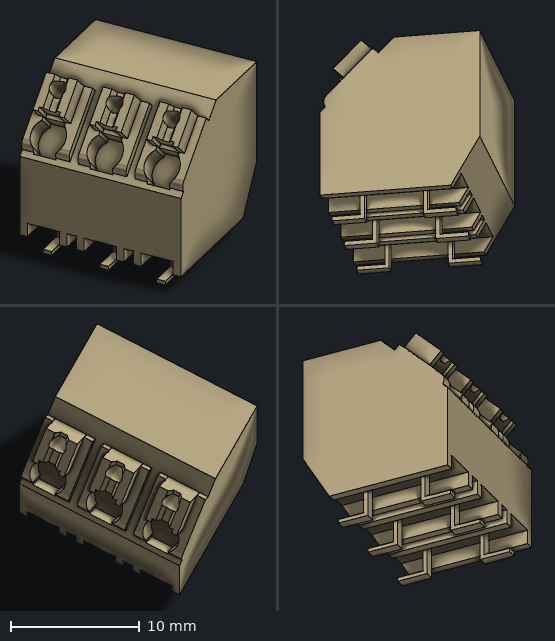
import cadquery as cq
import math


POLES = 3
PITCH = 5.0
OVERALL_HEIGHT = 14.71

WIDTH = 14.2
DEPTH = 12.7
BASE_Z = 1.52
TOP_Z = 14.42
SLANT = 5.87
REAR_CUT_HEIGHT = 3.95
REAR_CUT_DEPTH = 2.3
SLOT_DEPTH = 1.2
PIN_SLOT_WIDTH = 2.82
GAP_SLOT_WIDTH = 0.82

PAD_GAP = 0.76
PAD_START = 1.72
PAD_END = 7.71
PAD_RISE = 0.6
PAD_ROUNDING = 0.8

BUTTON_OFFSET = -0.03
BUTTON_WIDTH = 2.77
BUTTON_LENGTH = 3.16
BUTTON_END = PAD_START + BUTTON_LENGTH
BUTTON_RISE = PAD_START + math.sqrt(2) * (OVERALL_HEIGHT - TOP_Z)
GROOVE_DEPTH = 0.55
GROOVE_TOP_WIDTH = 1.2
GROOVE_FLOOR_WIDTH = 0.59
TOOL_HOLE_DIAMETER = 1.4
TOOL_HOLE_POSITION = 2.7
NOTCH_WIDTH = 1.84
NOTCH_DEPTH = 0.34
NOTCH_FLOOR_RISE = 0.32

WIRE_OFFSET = -0.07
WIRE_DEPTH = 1.34
WIRE_HOLE_DIAMETER = 3.0
WIRE_HOLE_POSITION = 6.33
WIRE_SLOT_WIDTH = 1.97
WIRE_SLOT_END = 7.84

PIN_WIDTH = 0.8
PIN_THICKNESS = 0.35
PIN_FOOT_LENGTH = 2.59
PIN_HEIGHT = BASE_Z + SLOT_DEPTH
FRONT_PIN_HEEL_Y = 3.22
REAR_PIN_HEEL_Y = 7.88

POLE_X = [PITCH * (i - (POLES - 1) / 2) for i in range(POLES)]
GAP_X = [(left + right) / 2 for left, right in zip(POLE_X, POLE_X[1:])]


def slant_plane(x, rise):
    """Plane parallel to the slanted face, raised off it, with local Y pointing up the slope."""
    plane = cq.Plane(origin=(x, SLANT, TOP_Z), xDir=(1, 0, 0), normal=(0, -1, 1))
    plane.origin = plane.toWorldCoords((0, 0, rise))
    return plane


def slant_box(x, width, start, end, low, high):
    """Box between two distances down the slope and two heights off the slanted face."""
    return (
        cq.Workplane(slant_plane(x, low))
        .center(0, -(start + end) / 2)
        .rect(width, end - start)
        .extrude(high - low)
    )


def slant_cylinder(x, diameter, position, low, high):
    """Cylinder standing square to the slanted face."""
    return (
        cq.Workplane(slant_plane(x, low))
        .center(0, -position)
        .circle(diameter / 2)
        .extrude(high - low)
    )


def housing_block():
    """Full-width block with both chamfered edges."""
    outline = [
        (0, BASE_Z),
        (DEPTH - REAR_CUT_DEPTH, BASE_Z),
        (DEPTH, BASE_Z + REAR_CUT_HEIGHT),
        (DEPTH, TOP_Z),
        (SLANT, TOP_Z),
        (0, TOP_Z - SLANT),
    ]
    return cq.Workplane("YZ").polyline(outline).close().extrude(WIDTH / 2, both=True)


def pad_strip():
    """Full-width raised strip with a rounded lower edge, split into pads by grooves."""
    axis_depth = PAD_ROUNDING - PAD_RISE
    axis_position = PAD_END - math.sqrt(PAD_ROUNDING**2 - axis_depth**2)
    flat = slant_box(0, WIDTH, PAD_START, axis_position, 0, PAD_RISE)
    edge = slant_box(0, WIDTH, axis_position, PAD_END, 0, PAD_RISE)
    axis_start = slant_plane(0, -axis_depth).toWorldCoords((-WIDTH / 2, -axis_position, 0))
    roller = cq.Solid.makeCylinder(PAD_ROUNDING, WIDTH, axis_start, cq.Vector(1, 0, 0))
    strip = flat.union(edge.intersect(cq.Workplane(roller)))
    for x in GAP_X:
        strip = strip.cut(slant_box(x, PAD_GAP, PAD_START, PAD_END, 0, PAD_RISE))
    return strip


def wire_entry(x):
    """Round hole with a rectangular slot through it, ending against the button."""
    hole = slant_cylinder(x, WIRE_HOLE_DIAMETER, WIRE_HOLE_POSITION, -WIRE_DEPTH, PAD_RISE)
    slot = slant_box(x, WIRE_SLOT_WIDTH, BUTTON_END, WIRE_SLOT_END, -WIRE_DEPTH, PAD_RISE)
    return hole.union(slot)


def button_recess(x):
    """Pocket that the button fills, open at the upper end of the pad."""
    return slant_box(x, BUTTON_WIDTH, PAD_START, BUTTON_END, -WIRE_DEPTH, PAD_RISE)


def underside_slot(x, width):
    """Slot across the bottom of the housing from front to back."""
    return cq.Workplane("XY").box(width, DEPTH, SLOT_DEPTH, (True, False, False)).translate((x, 0, BASE_Z))


def make_housing():
    body = housing_block().union(pad_strip())
    for x in POLE_X:
        body = body.cut(button_recess(x + BUTTON_OFFSET))
        body = body.cut(wire_entry(x + WIRE_OFFSET))
        body = body.cut(underside_slot(x, PIN_SLOT_WIDTH))
    for x in GAP_X:
        body = body.cut(underside_slot(x, GAP_SLOT_WIDTH))
    return body


def tool_groove(x):
    """Groove with sloping sides along the button's top face."""
    floor_rise = BUTTON_RISE - GROOVE_DEPTH
    half_top = GROOVE_TOP_WIDTH / 2
    half_floor = GROOVE_FLOOR_WIDTH / 2
    section = [
        (x - half_floor, floor_rise),
        (x + half_floor, floor_rise),
        (x + half_top, BUTTON_RISE),
        (x - half_top, BUTTON_RISE),
    ]
    face = slant_plane(0, 0)
    upper_end = cq.Plane(face.toWorldCoords((0, -PAD_START, 0)), xDir=(1, 0, 0), normal=(0, -1, -1))
    return cq.Workplane(upper_end).polyline(section).close().extrude(BUTTON_LENGTH)


def make_button(x):
    body = slant_box(x, BUTTON_WIDTH, PAD_START, BUTTON_END, -WIRE_DEPTH, BUTTON_RISE)
    notch = slant_box(x, NOTCH_WIDTH, BUTTON_END - NOTCH_DEPTH, BUTTON_END, NOTCH_FLOOR_RISE, BUTTON_RISE)
    tool_hole = slant_cylinder(x, TOOL_HOLE_DIAMETER, TOOL_HOLE_POSITION, -WIRE_DEPTH, BUTTON_RISE)
    return body.cut(notch).cut(tool_groove(x)).cut(tool_hole)


def make_pin(x, heel_y, toe_direction):
    """L-shaped pin; its foot runs from the heel toward the front (-1) or the back (+1)."""
    shank_y = heel_y + toe_direction * PIN_THICKNESS
    toe_y = heel_y + toe_direction * PIN_FOOT_LENGTH
    outline = [
        (heel_y, 0),
        (toe_y, 0),
        (toe_y, PIN_THICKNESS),
        (shank_y, PIN_THICKNESS),
        (shank_y, PIN_HEIGHT),
        (heel_y, PIN_HEIGHT),
    ]
    profile = cq.Workplane("YZ", origin=(x, 0, 0)).polyline(outline).close()
    return profile.extrude(PIN_WIDTH / 2, both=True)


housing = make_housing()
buttons = [make_button(x + BUTTON_OFFSET) for x in POLE_X]
front_pins = [make_pin(x, FRONT_PIN_HEEL_Y, -1) for x in POLE_X]
rear_pins = [make_pin(x, REAR_PIN_HEEL_Y, 1) for x in POLE_X]

bodies = [housing, *buttons, *front_pins, *rear_pins]
result = cq.Compound.makeCompound([body.solids().val() for body in bodies])